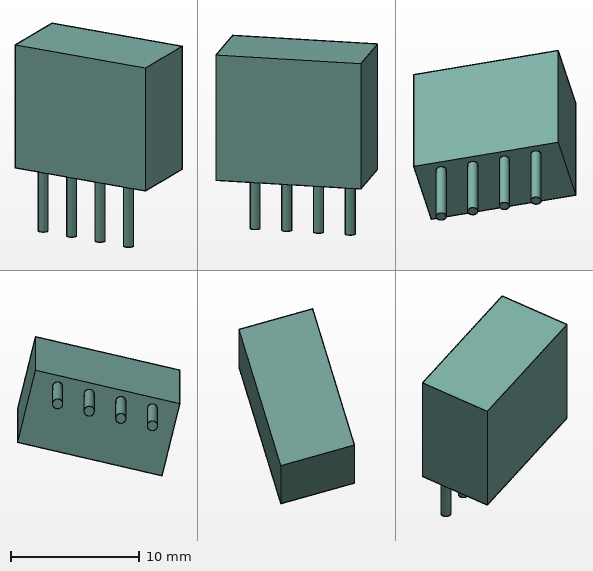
import cadquery as cq

total_height = 15.26
housing_length = 11.6
housing_width = 6.0
housing_height = 10.15

pin_count = 4
pin_pitch = 2.53
pin_diameter = 0.8
pin_inset = 0.9

pin_length = total_height - housing_height
pin_row_y = pin_inset - housing_width / 2


def make_housing():
    """Plain rectangular block standing on top of the pins."""
    return (
        cq.Workplane("XY")
        .workplane(offset=pin_length)
        .box(housing_length, housing_width, housing_height, centered=(True, True, False))
    )


def make_pin(x):
    """Straight round pin whose top end touches the housing's underside."""
    return (
        cq.Workplane("XY")
        .center(x, pin_row_y)
        .circle(pin_diameter / 2)
        .extrude(pin_length)
    )


housing = make_housing()

first_pin_x = -pin_pitch * (pin_count - 1) / 2
pins = [make_pin(first_pin_x + i * pin_pitch) for i in range(pin_count)]

result = cq.Compound.makeCompound([housing.val(), *[pin.val() for pin in pins]])